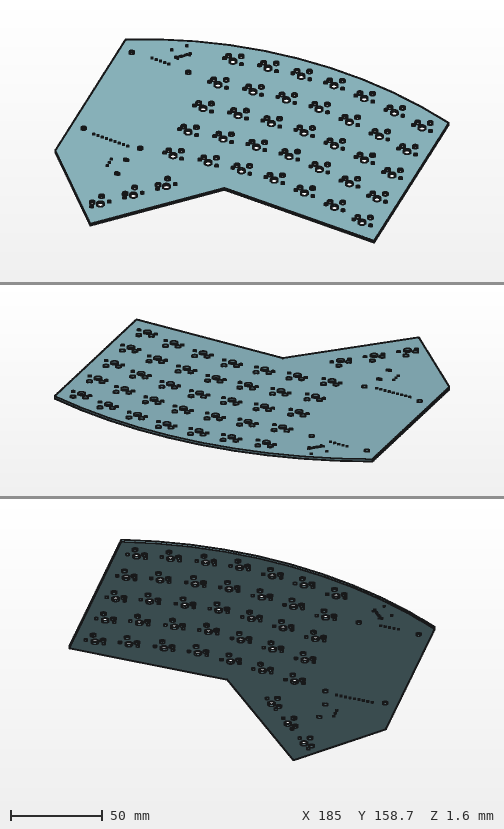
import cadquery as cq
import math

board_length = 185.0
board_width = 158.7
board_thickness = 1.6

left_x, right_x = -board_length / 2, board_length / 2
front_y, back_y = -board_width / 2, board_width / 2
left_back_y = 50.3
left_front_y = -39.2
right_back_y = 70.5
right_front_y = -24.6
crown_x = 30.2

half_pitch = 1.28
pin_pitch = 2 * half_pitch

key_pitch = 19.0
row_count = 5
outer_top_y, next_top_y, inner_top_y, middle_top_y = 61.0, 64.5, 67.0, 68.5
column_tops = [
    (-33.0, outer_top_y),
    (-13.5, next_top_y),
    (5.4, inner_top_y),
    (24.5, middle_top_y),
    (43.3, inner_top_y),
    (62.5, next_top_y),
    (80.8, outer_top_y),
]

thumb_count = 3
thumb_start = (-26.6, -37.0)
thumb_angle = 45.0

stem_diameter = 4.0
stem_holes = [(0, 0)]
peg_diameter = 1.75
peg_holes = [(-4 * half_pitch, 0), (4 * half_pitch, 0)]
contact_diameter = 3.0
contact_holes = [(-3 * half_pitch, 2 * half_pitch), (2 * half_pitch, 4 * half_pitch)]

mount_diameter = 2.8
module_mount_xs = (-85.5, -51.5)
module_mount_ys = (-18.0, 43.3)

tab_slot_length, tab_slot_width = 2.8, 1.8
tab_slot_x = -54.8
tab_slot_ys = (-40.0, -28.9)

header_diameter = 1.0
back_header_centre, back_header_pins = (-68.6, 44.2), 5
front_header_centre, front_header_pins = (-68.5, -19.5), 9
encoder_header_centre, encoder_header_pins = (-62.2, -34.5), 3

usb_centre = (-61.5, 55.3)
usb_angle = 45.0
shield_diameter = 1.1
shield_y = 3.0
outer_shield_x, inner_shield_x = 4.5, 4.0
locator_diameter = 0.65
locator_x, locator_y = 3.5, -4.3
usb_pin_diameter = 0.4
usb_pin_step = 0.4
usb_pin_rows = [(-3.0, (2, 4, 6)), (-3.5, (1, 3, 7))]


def mirrored_pair(x, y):
    return [(-x, y), (x, y)]


def place(points, centre, angle):
    """Turn points about the local origin by an angle in degrees, then move them to a centre."""
    cos_a = math.cos(math.radians(angle))
    sin_a = math.sin(math.radians(angle))
    return [
        (centre[0] + x * cos_a - y * sin_a, centre[1] + x * sin_a + y * cos_a)
        for x, y in points
    ]


def board_sketch():
    """Sketch plane on the bottom face of the board."""
    return cq.Workplane("XY").workplane(offset=-board_thickness / 2)


def drill(body, points, diameter):
    """Cut round through holes at the points."""
    circles = board_sketch().pushPoints(points).circle(diameter / 2)
    return body.cut(circles.extrude(board_thickness))


def make_board():
    tip_x = left_x + (left_front_y - front_y)
    inner_corner_x = tip_x + (right_front_y - front_y)
    return (
        board_sketch()
        .moveTo(left_x, left_back_y)
        .threePointArc((crown_x, back_y), (right_x, right_back_y))
        .lineTo(right_x, right_front_y)
        .lineTo(inner_corner_x, right_front_y)
        .lineTo(tip_x, front_y)
        .lineTo(left_x, left_front_y)
        .close()
        .extrude(board_thickness)
    )


def key_places():
    """Centre and angle of every key."""
    places = []
    for x, top_y in column_tops:
        for row in range(row_count):
            places.append(((x, top_y - row * key_pitch), 0))
    diagonal_row = [(-i * key_pitch, 0) for i in range(thumb_count)]
    for centre in place(diagonal_row, thumb_start, thumb_angle):
        places.append((centre, thumb_angle))
    return places


def drill_keys(body):
    switch_holes = [
        (stem_holes, stem_diameter),
        (peg_holes, peg_diameter),
        (contact_holes, contact_diameter),
    ]
    for holes, diameter in switch_holes:
        points = []
        for centre, angle in key_places():
            points += place(holes, centre, angle)
        body = drill(body, points, diameter)
    return body


def drill_mounts(body):
    points = [(x, y) for x in module_mount_xs for y in module_mount_ys]
    return drill(body, points, mount_diameter)


def cut_tab_slots(body):
    points = [(tab_slot_x, y) for y in tab_slot_ys]
    slots = board_sketch().pushPoints(points).slot2D(tab_slot_length, tab_slot_width)
    return body.cut(slots.extrude(board_thickness))


def drill_header(body, centre, pin_count, angle):
    row = [((i - (pin_count - 1) / 2) * pin_pitch, 0) for i in range(pin_count)]
    return drill(body, place(row, centre, angle), header_diameter)


def drill_usb(body):
    shield = mirrored_pair(outer_shield_x, shield_y) + mirrored_pair(inner_shield_x, -shield_y)
    locators = mirrored_pair(locator_x, locator_y)
    pins = []
    for y, steps in usb_pin_rows:
        for step in steps:
            pins += mirrored_pair(step * usb_pin_step, y)
    usb_holes = [
        (shield, shield_diameter),
        (locators, locator_diameter),
        (pins, usb_pin_diameter),
    ]
    for holes, diameter in usb_holes:
        body = drill(body, place(holes, usb_centre, usb_angle), diameter)
    return body


board = make_board()
board = drill_keys(board)
board = drill_mounts(board)
board = cut_tab_slots(board)
board = drill_header(board, back_header_centre, back_header_pins, 0)
board = drill_header(board, front_header_centre, front_header_pins, 0)
board = drill_header(board, encoder_header_centre, encoder_header_pins, 90)
board = drill_usb(board)
result = board